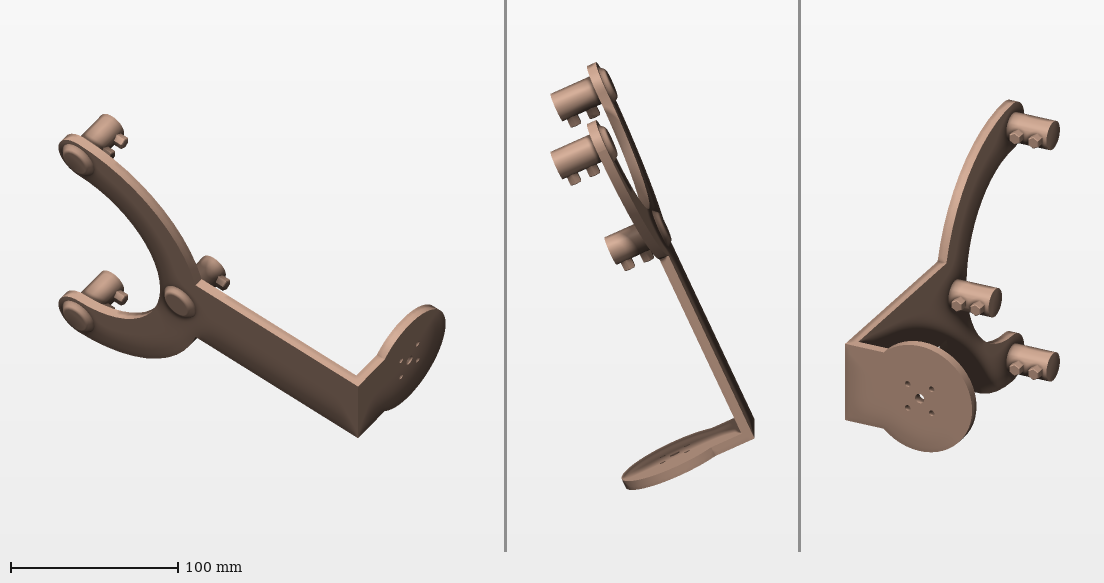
import cadquery as cq
import math

overall_length = 227.7
overall_depth = 88.3
overall_height = 185.0

plate_thickness = 6.0
fork_width = 30.5
arm_height = 51.0
disc_diameter = 70.1
disc_center_y = 49.9
center_hole_diameter = 6.1
mount_hole_diameter = 3.6
mount_hole_spacing = 16.0

fork_outer_radius = overall_height / 2
fork_inner_radius = fork_outer_radius - fork_width
fork_middle_radius = fork_outer_radius - fork_width / 2
flange_outer_x = overall_length - fork_width / 2
flange_inner_x = flange_outer_x - plate_thickness

pin_diameter = 18.0
head_base_diameter = 24.1
head_height = overall_depth - disc_center_y - disc_diameter / 2
head_fillet = 2.5
shank_protrusion = 2.0
shank_end_y = plate_thickness + shank_protrusion

post_length = 24.8
post_end_y = shank_end_y + post_length
peg_count = 2
peg_sides = 6
peg_across_flats = 6.8
peg_reach = 14.5
peg_end_offset = 6.1
peg_spacing = 12.5
peg_chamfer = 0.5

pin_centers = [
    (0.0, fork_middle_radius),
    (fork_middle_radius, 0.0),
    (0.0, -fork_middle_radius),
]


def cylinder_along_y(x, z, diameter, start_y, end_y):
    """Cylinder parallel to Y between two Y positions."""
    return (
        cq.Workplane("XZ", origin=(x, start_y, z))
        .circle(diameter / 2)
        .extrude(start_y - end_y)
    )


def make_fork():
    """Half ring opening toward -X, with rounded ends."""
    fork_tip_x = -fork_width / 2
    return (
        cq.Workplane("XZ")
        .moveTo(0, fork_outer_radius)
        .threePointArc((fork_outer_radius, 0), (0, -fork_outer_radius))
        .threePointArc((fork_tip_x, -fork_middle_radius), (0, -fork_inner_radius))
        .threePointArc((fork_inner_radius, 0), (0, fork_inner_radius))
        .threePointArc((fork_tip_x, fork_middle_radius), (0, fork_outer_radius))
        .close()
        .extrude(-plate_thickness)
    )


def make_arm():
    """Straight arm from the root of the fork to the flange."""
    return cq.Workplane("XY").box(
        flange_outer_x - fork_middle_radius,
        plate_thickness,
        arm_height,
        centered=(False, False, True),
    ).translate((fork_middle_radius, 0, 0))


def make_flange():
    """Flange across the arm end, widening into a disc with five holes."""
    neck = cq.Workplane("XY").box(
        plate_thickness,
        disc_center_y,
        arm_height,
        centered=(False, False, True),
    ).translate((flange_inner_x, 0, 0))
    disc_plane = cq.Workplane("YZ", origin=(flange_inner_x, disc_center_y, 0))
    disc = disc_plane.circle(disc_diameter / 2).extrude(plate_thickness)
    center_hole = disc_plane.circle(center_hole_diameter / 2).extrude(plate_thickness)
    mount_holes = (
        disc_plane.rect(mount_hole_spacing, mount_hole_spacing, forConstruction=True)
        .vertices()
        .circle(mount_hole_diameter / 2)
        .extrude(plate_thickness)
    )
    return neck.union(disc).cut(center_hole).cut(mount_holes)


def make_bracket():
    """One-piece bracket with a through hole for each pin."""
    bracket = make_fork().union(make_arm()).union(make_flange())
    for x, z in pin_centers:
        bracket = bracket.cut(cylinder_along_y(x, z, pin_diameter, 0, plate_thickness))
    return bracket


def make_pin(x, z):
    """Pin whose head tapers to the shank diameter, with a rounded front rim."""
    head = (
        cq.Workplane("XZ", origin=(x, 0, z))
        .circle(head_base_diameter / 2)
        .workplane(offset=head_height)
        .circle(pin_diameter / 2)
        .loft(ruled=True)
        .faces("<Y")
        .edges()
        .fillet(head_fillet)
    )
    return head.union(cylinder_along_y(x, z, pin_diameter, 0, shank_end_y))


def make_post(x, z):
    """Post with two hexagonal pegs, their corners pointing along Z."""
    post = cylinder_along_y(x, z, pin_diameter, shank_end_y, post_end_y)
    peg_across_corners = peg_across_flats / math.cos(math.pi / peg_sides)
    for index in range(peg_count):
        peg_y = post_end_y - peg_end_offset - index * peg_spacing
        peg = (
            cq.Workplane("YZ", origin=(x, peg_y, z))
            .transformed(rotate=(0, 0, 90))
            .polygon(peg_sides, peg_across_corners)
            .extrude(peg_reach)
            .faces(">X")
            .chamfer(peg_chamfer)
        )
        post = post.union(peg)
    return post


bracket = make_bracket()
pins = [make_pin(x, z) for x, z in pin_centers]
posts = [make_post(x, z) for x, z in pin_centers]

result = cq.Compound.makeCompound(
    [bracket.val()] + [pin.val() for pin in pins] + [post.val() for post in posts]
)